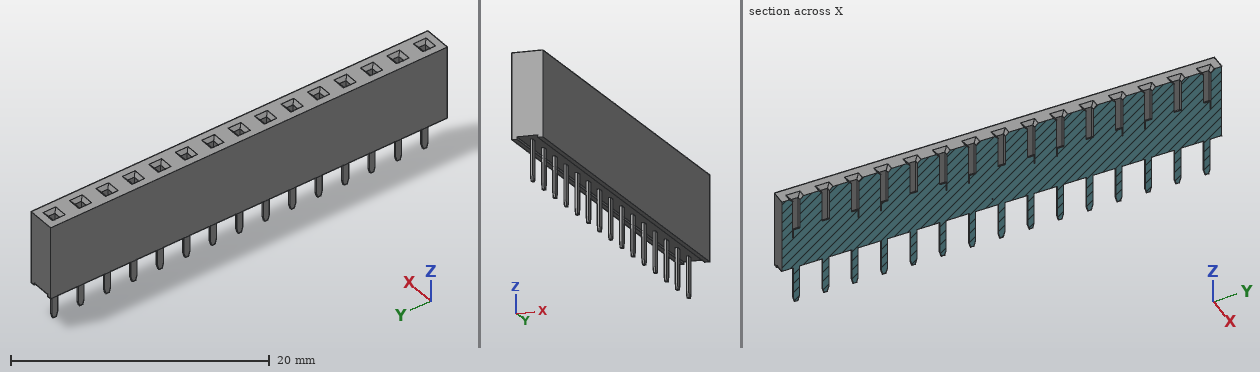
import cadquery as cq

PIN_COUNT = 15
LENGTH = 38.1
PITCH = LENGTH / PIN_COUNT
WIDTH = 2.55
TOTAL_HEIGHT = 10.1
PIN_LENGTH = 3.12
BODY_HEIGHT = TOTAL_HEIGHT - PIN_LENGTH

FOOT_WIDTH = 0.42
CHANNEL_DEPTH = 0.2

MOUTH_SIZE = 1.22
BORE_SIZE = 0.6
FUNNEL_DEPTH = 0.3
BORE_DEPTH = 3.8

PIN_THICKNESS = 0.2
PIN_WIDTH = 0.57
TIP_WIDTH = 0.3
TIP_LENGTH = 0.45
CONTACT_HEIGHT = 0.75

PIN_BOTTOM = -PIN_LENGTH
PIN_TOP = BODY_HEIGHT - BORE_DEPTH + CONTACT_HEIGHT
PIN_PLACES = [(i - (PIN_COUNT - 1) / 2) * PITCH for i in range(PIN_COUNT)]


def make_housing():
    """Long block standing on z = 0, with an open channel along its underside."""
    block = cq.Workplane("XY").box(WIDTH, LENGTH, BODY_HEIGHT, centered=(True, True, False))
    channel = cq.Workplane("XY").box(
        WIDTH - 2 * FOOT_WIDTH, LENGTH, CHANNEL_DEPTH, centered=(True, True, False)
    )
    return block.cut(channel)


def make_socket(y):
    """Square bore with a funnel mouth, as a solid to cut from the top face."""
    funnel = (
        cq.Workplane("XY", origin=(0, y, BODY_HEIGHT))
        .rect(MOUTH_SIZE, MOUTH_SIZE)
        .workplane(offset=-FUNNEL_DEPTH)
        .rect(BORE_SIZE, BORE_SIZE)
        .loft(ruled=True)
    )
    bore = (
        cq.Workplane("XY", origin=(0, y, BODY_HEIGHT - BORE_DEPTH))
        .rect(BORE_SIZE, BORE_SIZE)
        .extrude(BORE_DEPTH - FUNNEL_DEPTH)
    )
    return funnel.union(bore)


def make_pin(y):
    """Flat pin with a tapered lower tip; its upper end stands up inside the bore."""
    shoulder = PIN_BOTTOM + TIP_LENGTH
    return (
        cq.Workplane("YZ", origin=(0, y, 0))
        .moveTo(-TIP_WIDTH / 2, PIN_BOTTOM)
        .lineTo(TIP_WIDTH / 2, PIN_BOTTOM)
        .lineTo(PIN_WIDTH / 2, shoulder)
        .lineTo(PIN_WIDTH / 2, PIN_TOP)
        .lineTo(-PIN_WIDTH / 2, PIN_TOP)
        .lineTo(-PIN_WIDTH / 2, shoulder)
        .close()
        .extrude(PIN_THICKNESS / 2, both=True)
    )


result = make_housing()
for pin_y in PIN_PLACES:
    result = result.cut(make_socket(pin_y)).union(make_pin(pin_y))